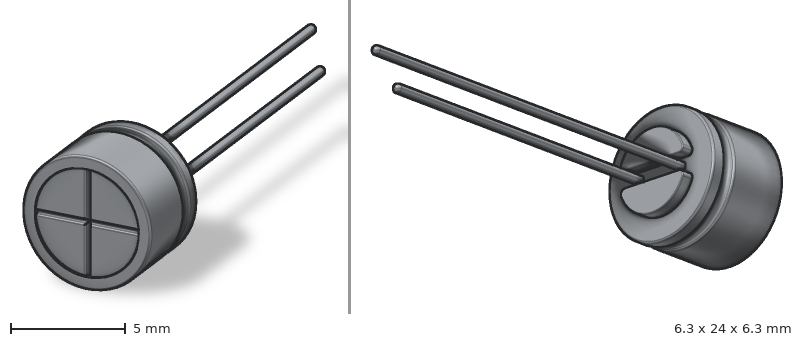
import cadquery as cq
import math


can_diameter = 6.3
can_radius = can_diameter / 2
total_height = 5.0
standoff_height = 0.6
can_height = total_height - standoff_height
edge_fillet = 0.1

rear_flange_width = 0.7
groove_radius = 0.3

recess_diameter = 5.1
recess_depth = 0.1
score_wall_radius = 0.08
score_floor_width = 0.04

standoff_diameter = 4.0
slot_width = 0.8
slot_corner_fillet = 0.25
standoff_rim_fillet = 0.05

lead_diameter = 0.45
lead_pitch = 2.5
lead_tip_fillet = 0.2
long_lead = 19.0
short_lead = 15.0


def cylinder_along_y(diameter, start, length):
    """Cylinder on the part's axis, from y = start toward +Y."""
    return cq.Workplane("XZ", origin=(0, start, 0)).circle(diameter / 2).extrude(-length)


def make_can():
    """Turned can with rounded rims and the crimp groove."""
    rim_radius = can_radius - edge_fillet
    groove_rear = can_height - rear_flange_width
    groove_front = groove_rear - 2 * groove_radius
    groove_middle = groove_rear - groove_radius
    arc_inset = edge_fillet * (1 - math.sqrt(0.5))
    mid_arc_radius = can_radius - arc_inset

    profile = (
        cq.Workplane("XY")
        .moveTo(0, 0)
        .lineTo(rim_radius, 0)
        .threePointArc((mid_arc_radius, arc_inset), (can_radius, edge_fillet))
        .lineTo(can_radius, groove_front - edge_fillet)
        .threePointArc((mid_arc_radius, groove_front - arc_inset), (rim_radius, groove_front))
        .threePointArc((rim_radius - groove_radius, groove_middle), (rim_radius, groove_rear))
        .threePointArc((mid_arc_radius, groove_rear + arc_inset), (can_radius, groove_rear + edge_fillet))
        .lineTo(can_radius, can_height - edge_fillet)
        .threePointArc((mid_arc_radius, can_height - arc_inset), (rim_radius, can_height))
        .lineTo(0, can_height)
        .close()
    )
    return profile.revolve(360, (0, 0, 0), (0, 1, 0))


def make_vent_face_cut():
    """Material removed from the vent face: the recess and its scored cross."""
    recess = cylinder_along_y(recess_diameter, 0, recess_depth)
    bend = score_wall_radius
    half_floor = score_floor_width / 2
    wall_x = half_floor + bend
    mouth_x = wall_x + bend
    wall_y = recess_depth + bend
    floor_y = wall_y + bend
    diagonal = bend * math.sqrt(0.5)
    lip_middle_x = mouth_x - diagonal
    lip_middle_y = wall_y - diagonal
    corner_middle_x = half_floor + diagonal
    corner_middle_y = wall_y + diagonal
    score = (
        cq.Workplane("XY")
        .moveTo(-mouth_x, recess_depth)
        .threePointArc((-lip_middle_x, lip_middle_y), (-wall_x, wall_y))
        .threePointArc((-corner_middle_x, corner_middle_y), (-half_floor, floor_y))
        .lineTo(half_floor, floor_y)
        .threePointArc((corner_middle_x, corner_middle_y), (wall_x, wall_y))
        .threePointArc((lip_middle_x, lip_middle_y), (mouth_x, recess_depth))
        .close()
        .extrude(recess_diameter / 2, both=True)
    )
    cross = score.union(score.rotate((0, 0, 0), (0, 1, 0), 90))
    within_recess = cylinder_along_y(recess_diameter, 0, can_height)
    return recess.union(cross.intersect(within_recess))


def make_standoff():
    """Boss on the rear face, slotted along X, with the slot's mouths and the rim rounded."""
    boss = cylinder_along_y(standoff_diameter, can_height, standoff_height)
    slot = (
        cq.Workplane("XY")
        .box(standoff_diameter, standoff_height, slot_width)
        .translate((0, can_height + standoff_height / 2, 0))
    )
    halves = boss.cut(slot).edges("|Y").fillet(slot_corner_fillet)
    return halves.faces(">Y").edges().fillet(standoff_rim_fillet)


def make_lead(x, length):
    """Straight lead from the can's rear face, with a rounded tip."""
    lead = cylinder_along_y(lead_diameter, can_height, standoff_height + length)
    return lead.faces(">Y").edges().fillet(lead_tip_fillet).translate((x, 0, 0))


case = make_can().cut(make_vent_face_cut()).union(make_standoff())

lead_layout = [(-lead_pitch / 2, long_lead), (lead_pitch / 2, short_lead)]
leads = [make_lead(x, length) for x, length in lead_layout]

result = cq.Compound.makeCompound([case.val(), *[lead.val() for lead in leads]])